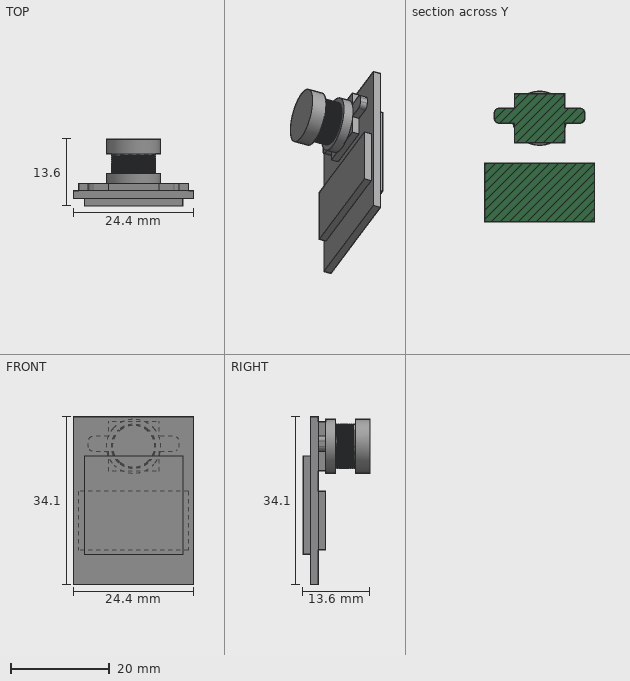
import cadquery as cq

BOARD_WIDTH = 24.4
BOARD_HEIGHT = 34.1
BOARD_THICKNESS = 1.6
BOARD_TOP = BOARD_HEIGHT / 2

PAD_SIDE = 20.0
PAD_THICKNESS = 1.5
PAD_TOP_MARGIN = 7.98

CHIP_WIDTH = 22.35
CHIP_HEIGHT = 11.95
CHIP_THICKNESS = 1.5
CHIP_TOP_MARGIN = 15.15

MOUNT_WIDTH = 10.25
MOUNT_HEIGHT = 9.95
MOUNT_THICKNESS = 1.5
EAR_SPAN = 18.4
EAR_HEIGHT = 3.07
EAR_CORNER_RADIUS = 1.02
EAR_OFFSET = 0.5

LENS_TOP_MARGIN = 6.05
LENS_DIAMETER = 11.0
FLANGE_LENGTH = 2.0
NECK_LENGTH = 4.0
CAP_LENGTH = 3.0
THREAD_CREST_DIAMETER = 9.0
THREAD_ROOT_DIAMETER = 8.52
THREAD_PITCH = NECK_LENGTH / 10
THREAD_TURNS = 9.5
GROOVE_ROOT_WIDTH = 0.1
GROOVE_MOUTH_WIDTH = 0.3
GROOVE_OVERCUT = 0.05

LENS_Z = BOARD_TOP - LENS_TOP_MARGIN
BOARD_REAR = BOARD_THICKNESS


def block(width, thickness, height, front_y, center_z):
    """Upright block centred on X, extending rearward from front_y."""
    return cq.Workplane("XY").box(width, thickness, height).translate(
        (0, front_y + thickness / 2, center_z)
    )


def lens_mount():
    body = block(MOUNT_WIDTH, MOUNT_THICKNESS, MOUNT_HEIGHT, BOARD_REAR, LENS_Z)
    ears = block(EAR_SPAN, MOUNT_THICKNESS, EAR_HEIGHT, BOARD_REAR, LENS_Z + EAR_OFFSET)
    return body.union(ears.edges("|Y").fillet(EAR_CORNER_RADIUS))


def disc(diameter, length, start_y):
    """Cylinder on the lens axis, extending rearward from start_y."""
    plane = cq.Plane(origin=(0, start_y, LENS_Z), xDir=(1, 0, 0), normal=(0, 1, 0))
    return cq.Workplane(plane).circle(diameter / 2).extrude(length)


def threaded_neck(start_y):
    """Neck with a right-hand helical V groove that stops short of the cap."""
    root_radius = THREAD_ROOT_DIAMETER / 2
    outer_radius = THREAD_CREST_DIAMETER / 2 + GROOVE_OVERCUT
    root_half = GROOVE_ROOT_WIDTH / 2
    mouth_half = GROOVE_MOUTH_WIDTH / 2
    path = cq.Wire.makeHelix(THREAD_PITCH, THREAD_PITCH * THREAD_TURNS, root_radius)
    section = [
        (root_radius, -root_half),
        (outer_radius, -mouth_half),
        (outer_radius, mouth_half),
        (root_radius, root_half),
    ]
    groove = cq.Workplane("XZ").polyline(section).close().sweep(path, isFrenet=True)
    groove = groove.rotate((0, 0, 0), (1, 0, 0), -90).translate((0, start_y, LENS_Z))
    return disc(THREAD_CREST_DIAMETER, NECK_LENGTH, start_y).cut(groove)


def lens_barrel():
    flange_y = BOARD_REAR + MOUNT_THICKNESS
    neck_y = flange_y + FLANGE_LENGTH
    cap_y = neck_y + NECK_LENGTH
    flange = disc(LENS_DIAMETER, FLANGE_LENGTH, flange_y)
    cap = disc(LENS_DIAMETER, CAP_LENGTH, cap_y)
    return flange.union(threaded_neck(neck_y)).union(cap)


board = block(BOARD_WIDTH, BOARD_THICKNESS, BOARD_HEIGHT, 0, 0)
pad_z = BOARD_TOP - PAD_TOP_MARGIN - PAD_SIDE / 2
pad = block(PAD_SIDE, PAD_THICKNESS, PAD_SIDE, -PAD_THICKNESS, pad_z)
chip_z = BOARD_TOP - CHIP_TOP_MARGIN - CHIP_HEIGHT / 2
chip = block(CHIP_WIDTH, CHIP_THICKNESS, CHIP_HEIGHT, BOARD_REAR, chip_z)

result = board.union(pad).union(chip).union(lens_mount()).union(lens_barrel())